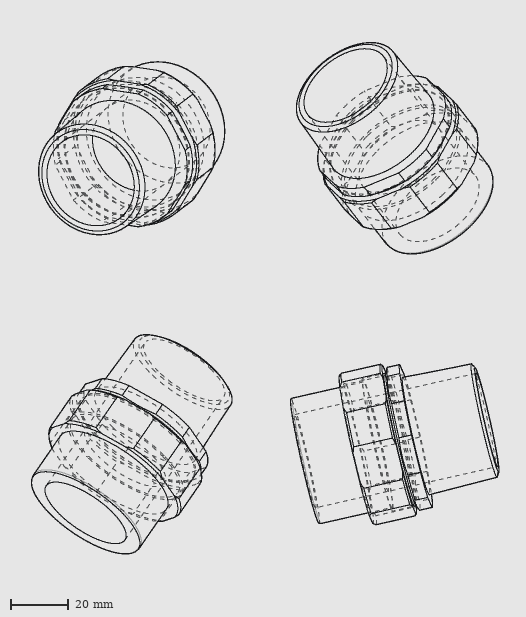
import cadquery as cq
import math

overall_length = 65.5
bore_dia = 33.55

flange_front = 25.55
flange_back = 30.85
nut_front = 31.5
joint = 39.3
nut_back = 47.05

spigot_tip_dia = 37.5
spigot_front_dia = 40.9
spigot_root_dia = 42.3
spigot_chamfer_length = 1.0
flange_flats = 49.55
flange_corner_dia = 51.45
flange_chamfer_length = 0.8
neck_dia = 47.8

nut_flats = 52.35
nut_corner_dia = 54.6
nut_end_dia = 53.3
nut_front_chamfer_length = 0.65
nut_back_chamfer_length = 0.9

sleeve_dia = 45.2
sleeve_chamfer_length = 0.7
sleeve_chamfer_depth = 0.2


def turned_ring(inner_dia, outline):
    """Revolve a (diameter, y) outline about Y, closed along the inner diameter."""
    points = [(diameter / 2, y) for diameter, y in outline]
    points = [(inner_dia / 2, outline[0][1])] + points + [(inner_dia / 2, outline[-1][1])]
    return cq.Workplane("XY").polyline(points).close().revolve(360, (0, 0, 0), (0, 1, 0))


def cylinder(diameter, y_start, y_end):
    return cq.Workplane("XZ", origin=(0, y_start, 0)).circle(diameter / 2).extrude(y_start - y_end)


def hexagon(across_flats, y_start, y_end):
    """Hexagonal prism along Y with one pair of flats facing up and down."""
    across_corners = across_flats / math.cos(math.pi / 6)
    profile = cq.Workplane("XZ", origin=(0, y_start, 0)).polygon(6, across_corners)
    return profile.extrude(y_start - y_end)


def make_spigot():
    tapered_tube = turned_ring(bore_dia, [
        (spigot_tip_dia, 0),
        (spigot_front_dia, spigot_chamfer_length),
        (spigot_root_dia, flange_front),
    ])
    flange_blank = turned_ring(bore_dia, [
        (flange_corner_dia, flange_front),
        (flange_corner_dia, flange_back - flange_chamfer_length),
        (neck_dia, flange_back),
    ])
    flange = flange_blank.intersect(hexagon(flange_flats, flange_front, flange_back))
    neck = turned_ring(bore_dia, [(neck_dia, flange_back), (neck_dia, joint)])
    return tapered_tube.union(flange).union(neck)


def make_nut():
    blank = turned_ring(sleeve_dia, [
        (nut_end_dia, nut_front),
        (nut_corner_dia, nut_front + nut_front_chamfer_length),
        (nut_corner_dia, nut_back - nut_back_chamfer_length),
        (nut_end_dia, nut_back),
    ])
    body = blank.intersect(hexagon(nut_flats, nut_front, nut_back))
    return body.cut(cylinder(neck_dia, nut_front, joint))


def make_sleeve():
    return turned_ring(bore_dia, [
        (sleeve_dia, joint),
        (sleeve_dia, overall_length - sleeve_chamfer_length),
        (sleeve_dia - 2 * sleeve_chamfer_depth, overall_length),
    ])


spigot = make_spigot()
nut = make_nut()
sleeve = make_sleeve()

result = cq.Compound.makeCompound([spigot.val(), nut.val(), sleeve.val()])